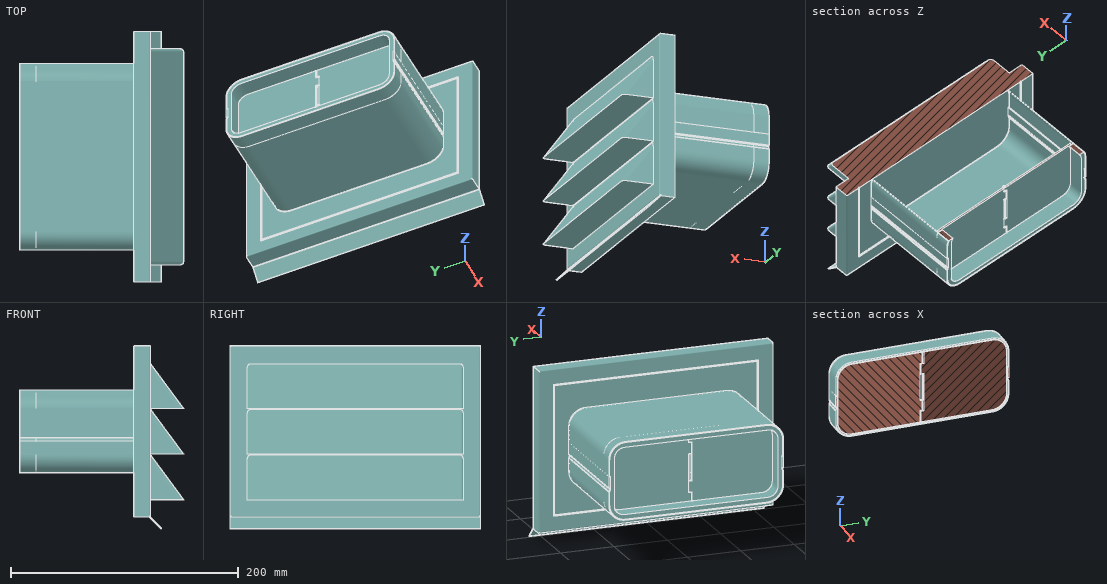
import cadquery as cq
import math

SHEET = 0.9

SLEEVE_LENGTH = 99.9
SLEEVE_WIDTH = 164.0
SLEEVE_HEIGHT = 72.8
SLEEVE_RADIUS = 15.6

LAP_HALF_HEIGHT = 5.3
LIP_GAP = 0.7
JOGGLE_HEIGHT = 2.6

PLATE_THICKNESS = 15.0
PLATE_WIDTH = 220.0
PLATE_HEIGHT = 150.5
PLATE_FILLET = 1.0

PANEL_WIDTH = 190.0
PANEL_HEIGHT = 120.0
GROOVE_WIDTH = 0.9
GROOVE_DEPTH = 0.9

LOUVRE_COUNT = 3
LOUVRE_PITCH = PANEL_HEIGHT / LOUVRE_COUNT
LOUVRE_REACH = 29.0
LOUVRE_RISE = 39.4
LOUVRE_FILLET = 3.0

DRIP_ANGLE = 45.0
DRIP_DROP = 10.3
DRIP_WIDTH = PLATE_WIDTH

RING_LENGTH = 14.3
RING_WALL = 4.5
RING_BORE_RADIUS = 9.5

FLAP_THICKNESS = 2.0
FLAP_CLEARANCE = 1.3
KNUCKLE_RADIUS = 1.65
PIN_RADIUS = 0.9
SPRING_HALF_HEIGHT = 12.5
KNUCKLE_SPLIT = 23.0

BORE_WIDTH = SLEEVE_WIDTH - 2 * SHEET
BORE_HEIGHT = SLEEVE_HEIGHT - 2 * SHEET
BORE_RADIUS = SLEEVE_RADIUS - SHEET
RING_BORE_WIDTH = BORE_WIDTH - 2 * RING_WALL
RING_BORE_HEIGHT = BORE_HEIGHT - 2 * RING_WALL
PLATE_FRONT = SLEEVE_LENGTH + PLATE_THICKNESS
FLAP_WIDTH = BORE_WIDTH - 2 * FLAP_CLEARANCE
FLAP_HEIGHT = BORE_HEIGHT - 2 * FLAP_CLEARANCE
FLAP_RADIUS = BORE_RADIUS - FLAP_CLEARANCE
HINGE_X = RING_LENGTH + KNUCKLE_RADIUS
FLAP_TOP = FLAP_HEIGHT / 2


def box(x_min, x_max, y_min, y_max, z_min, z_max):
    """Box between the given limits."""
    size = (x_max - x_min, y_max - y_min, z_max - z_min)
    return cq.Workplane("XY").box(*size, centered=False).translate((x_min, y_min, z_min))


def rounded_bar(x_min, length, width, height, radius):
    """Bar along X with rounded lengthwise edges."""
    bar = cq.Workplane("YZ", origin=(x_min, 0, 0)).rect(width, height).extrude(length)
    return bar.edges("|X").fillet(radius)


def side_strips(points, length):
    """Strips along X with the given (Y, Z) section, on the +Y side and mirrored to the -Y side."""
    strip = cq.Workplane("YZ").polyline(points).close().extrude(length)
    return strip.union(strip.mirror("XZ"))


def lap_tabs(length):
    """Inner tab of the lap seam, with the joggle that leads the wall in behind the lip."""
    wall = BORE_WIDTH / 2
    joggle_top = -LAP_HALF_HEIGHT - LIP_GAP
    return side_strips(
        [
            (wall, LAP_HALF_HEIGHT),
            (wall - SHEET, LAP_HALF_HEIGHT),
            (wall - SHEET, joggle_top),
            (wall, joggle_top - JOGGLE_HEIGHT),
        ],
        length,
    )


def lap_notches(length):
    """Outer notch of the lap seam, between the lip's edge and the joggle."""
    face = SLEEVE_WIDTH / 2
    joggle_top = -LAP_HALF_HEIGHT - LIP_GAP
    return side_strips(
        [
            (face, -LAP_HALF_HEIGHT),
            (face - SHEET, -LAP_HALF_HEIGHT),
            (face - SHEET, joggle_top),
            (face, joggle_top - JOGGLE_HEIGHT),
        ],
        length,
    )


def make_sleeve():
    outside = rounded_bar(0, SLEEVE_LENGTH, SLEEVE_WIDTH, SLEEVE_HEIGHT, SLEEVE_RADIUS)
    bore = rounded_bar(0, SLEEVE_LENGTH, BORE_WIDTH, BORE_HEIGHT, BORE_RADIUS)
    bore = bore.cut(lap_tabs(SLEEVE_LENGTH))
    return outside.cut(bore).cut(lap_notches(SLEEVE_LENGTH))


def make_plate():
    plate = box(
        SLEEVE_LENGTH, PLATE_FRONT,
        -PLATE_WIDTH / 2, PLATE_WIDTH / 2,
        -PLATE_HEIGHT / 2, PLATE_HEIGHT / 2,
    ).edges("|Y or |Z").fillet(PLATE_FILLET)
    groove = (
        cq.Workplane("YZ", origin=(SLEEVE_LENGTH, 0, 0))
        .rect(PANEL_WIDTH + 2 * GROOVE_WIDTH, PANEL_HEIGHT + 2 * GROOVE_WIDTH)
        .rect(PANEL_WIDTH, PANEL_HEIGHT)
        .extrude(GROOVE_DEPTH)
    )
    return plate.cut(groove)


def make_louvre(z_bottom):
    """Wedge-shaped hood with its sloping face rounded into its two ends."""
    hood = (
        cq.Workplane("XZ", origin=(PLATE_FRONT, PANEL_WIDTH / 2, z_bottom))
        .polyline([(0, 0), (LOUVRE_REACH, 0), (0, LOUVRE_RISE)])
        .close()
        .extrude(PANEL_WIDTH)
    )
    slope = cq.Vector(LOUVRE_REACH, 0, -LOUVRE_RISE)
    return hood.edges(cq.selectors.ParallelDirSelector(slope)).fillet(LOUVRE_FILLET)


def make_drip_strip():
    """Thin strip sloping down and out from the plate's lower front edge."""
    angle = math.radians(DRIP_ANGLE)
    length = (DRIP_DROP - SHEET * math.cos(angle)) / math.sin(angle)
    root = 2 * SHEET
    strip = box(-root, length, -DRIP_WIDTH / 2, DRIP_WIDTH / 2, -SHEET, 0)
    strip = strip.rotate((0, 0, 0), (0, 1, 0), DRIP_ANGLE)
    return strip.translate((PLATE_FRONT, 0, -PLATE_HEIGHT / 2))


def make_housing():
    housing = make_sleeve().union(make_plate()).union(make_drip_strip())
    for row in range(LOUVRE_COUNT):
        housing = housing.union(make_louvre(-PANEL_HEIGHT / 2 + row * LOUVRE_PITCH))
    return housing


def make_ring():
    """Stop ring inside the sleeve's mouth, relieved for the lap seam."""
    ring = rounded_bar(0, RING_LENGTH, BORE_WIDTH, BORE_HEIGHT, BORE_RADIUS)
    opening = rounded_bar(0, RING_LENGTH, RING_BORE_WIDTH, RING_BORE_HEIGHT, RING_BORE_RADIUS)
    return ring.cut(opening).cut(lap_tabs(RING_LENGTH))


def hinge_cylinder(radius, z_min, z_max):
    """Upright cylinder on the hinge axis."""
    return cq.Workplane("XY", origin=(HINGE_X, 0, z_min)).circle(radius).extrude(z_max - z_min)


def make_blank_flap():
    """Flap on the +Y side with two knuckles; turned half round X it becomes the -Y flap."""
    flap_back = RING_LENGTH + FLAP_THICKNESS
    both_flaps = rounded_bar(RING_LENGTH, FLAP_THICKNESS, FLAP_WIDTH, FLAP_HEIGHT, FLAP_RADIUS)
    flap_side = box(RING_LENGTH, flap_back, KNUCKLE_RADIUS, FLAP_WIDTH, -FLAP_TOP, FLAP_TOP)
    flap = both_flaps.intersect(flap_side)
    for z_min, z_max in [(SPRING_HALF_HEIGHT, KNUCKLE_SPLIT), (-FLAP_TOP, -KNUCKLE_SPLIT)]:
        web = box(RING_LENGTH, flap_back, 0, KNUCKLE_RADIUS, z_min, z_max)
        flap = flap.union(web).union(hinge_cylinder(KNUCKLE_RADIUS, z_min, z_max))
    return flap


def make_pin_flap():
    """Flap on the +Y side, carrying the hinge pin."""
    return make_blank_flap().union(hinge_cylinder(PIN_RADIUS, -FLAP_TOP, FLAP_TOP))


def make_bored_flap():
    """Flap on the -Y side, its knuckles bored for the hinge pin."""
    flap = make_blank_flap().rotate((0, 0, 0), (1, 0, 0), 180)
    return flap.cut(hinge_cylinder(PIN_RADIUS, -FLAP_TOP, FLAP_TOP))


housing = make_housing()
ring = make_ring()
pin_flap = make_pin_flap()
bored_flap = make_bored_flap()

result = cq.Compound.makeCompound(
    [housing.val(), ring.val(), pin_flap.val(), bored_flap.val()]
)